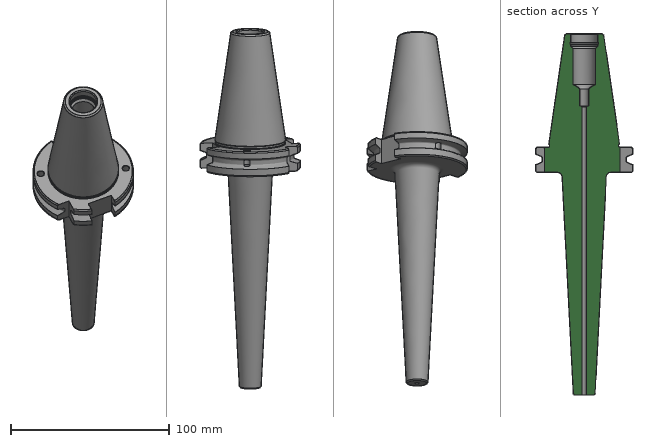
import cadquery as cq
import math

overall_length = 228.5
taper_length = 68.5
nose_end = taper_length - overall_length

gauge_diameter = 44.5
taper_ratio = 7 / 24
taper_top_chamfer = 1.0
taper_overrun = 1.1
relief_depth = 0.5

flange_diameter = 63.5
flange_top = -3.2
flange_height = 16.0
flange_bottom = flange_top - flange_height
flange_chamfer = 0.8
groove_floor_diameter = 55.5
groove_floor_width = 3.2
groove_mouth_width = 6.6
groove_center = -11.0
groove_corner_radius = 0.7

nose_root_diameter = 28.0
nose_root_fillet = 3.0
nose_tip_diameter = 14.0
nose_tip_chamfer = 0.8

slot_width = 16.0
deep_slot_distance = 22.5
shallow_slot_distance = 25.1
notch_x = 18.0
notch_y = -18.3

coolant_hole_radius = 2.0
coolant_hole_chamfer = 0.2
coolant_hole_depth = 9.1
coolant_drill_radius = 1.1
coolant_drill_depth = 12.5
coolant_circle_radius = 27.0
coolant_hole_angle = 70.0

entry_chamfer = 0.7
counterbore_radius = 8.5
counterbore_depth = 8.0
recess_radius = 9.0
recess_start = 5.5
recess_end = 6.6
thread_radius = 7.0
thread_depth = 32.0
drill_tip_angle = 30.0
stop_hole_mouth_radius = 3.9
stop_hole_radius = 2.7
stop_hole_depth = 45.7
stop_hole_land = 2.0
passage_radius = 1.4


def revolve_outline(points):
    """Turn a closed (radius, height) outline about the Z axis."""
    return cq.Workplane("XZ").polyline(points).close().revolve(360, (0, 0, 0), (0, 1, 0))


def taper_radius(z):
    return (gauge_diameter - z * taper_ratio) / 2


def make_body():
    """Taper, relief, flange and nose as one turned blank."""
    flange_radius = flange_diameter / 2
    nose_root_radius = nose_root_diameter / 2
    nose_tip_radius = nose_tip_diameter / 2
    chamfer_z = taper_length - taper_top_chamfer
    taper_end_radius = taper_radius(-taper_overrun)
    relief_radius = taper_end_radius - relief_depth
    profile = (
        cq.Workplane("XZ")
        .moveTo(0, taper_length)
        .lineTo(taper_radius(taper_length) - taper_top_chamfer, taper_length)
        .lineTo(taper_radius(chamfer_z), chamfer_z)
        .lineTo(taper_end_radius, -taper_overrun)
        .lineTo(relief_radius, -taper_overrun - relief_depth)
        .lineTo(relief_radius, flange_top + relief_depth)
        .lineTo(taper_end_radius, flange_top)
        .lineTo(flange_radius - flange_chamfer, flange_top)
        .lineTo(flange_radius, flange_top - flange_chamfer)
        .lineTo(flange_radius, flange_bottom + flange_chamfer)
        .lineTo(flange_radius - flange_chamfer, flange_bottom)
        .lineTo(nose_root_radius + nose_root_fillet, flange_bottom)
        .radiusArc((nose_root_radius, flange_bottom - nose_root_fillet), -nose_root_fillet)
        .lineTo(nose_tip_radius, nose_end + nose_tip_chamfer)
        .lineTo(nose_tip_radius - nose_tip_chamfer, nose_end)
        .lineTo(0, nose_end)
        .close()
    )
    return profile.revolve(360, (0, 0, 0), (0, 1, 0))


def make_gripper_groove():
    """Ring that cuts the V-groove, with rounded corners at the groove floor."""
    floor_radius = groove_floor_diameter / 2
    mouth_radius = flange_diameter / 2
    ring = revolve_outline([
        (floor_radius, groove_center - groove_floor_width / 2),
        (mouth_radius, groove_center - groove_mouth_width / 2),
        (mouth_radius, groove_center + groove_mouth_width / 2),
        (floor_radius, groove_center + groove_floor_width / 2),
    ])
    floor_edges = ring.edges(cq.selectors.RadiusNthSelector(0))
    return floor_edges.fillet(groove_corner_radius)


def make_rim_cut(x_min, x_max, y_min, y_max):
    """Rectangular cut through the full flange height."""
    block = cq.Workplane("XY").box(x_max - x_min, y_max - y_min, flange_height, centered=False)
    return block.translate((x_min, y_min, flange_bottom))


def make_coolant_hole():
    """Chamfered hole with a narrower drill below it, at its place in the flange face."""
    shoulder = coolant_hole_radius - coolant_drill_radius
    hole = revolve_outline([
        (0, 0),
        (coolant_hole_radius + coolant_hole_chamfer, 0),
        (coolant_hole_radius, -coolant_hole_chamfer),
        (coolant_hole_radius, -coolant_hole_depth),
        (coolant_drill_radius, -coolant_hole_depth - shoulder),
        (coolant_drill_radius, -coolant_drill_depth),
        (0, -coolant_drill_depth),
    ])
    placed = hole.translate((coolant_circle_radius, 0, flange_top))
    return placed.rotate((0, 0, 0), (0, 0, 1), coolant_hole_angle)


def make_bore():
    """Counterbore with recess, thread hole with drill tip, stop-screw hole and coolant passage."""
    top = taper_length
    recess_step = recess_radius - counterbore_radius
    thread_lead = counterbore_radius - thread_radius
    tip_height = (thread_radius - stop_hole_mouth_radius) * math.tan(math.radians(drill_tip_angle))
    mouth_z = top - thread_depth - tip_height
    stop_z = top - stop_hole_depth
    return revolve_outline([
        (0, top),
        (counterbore_radius + entry_chamfer, top),
        (counterbore_radius, top - entry_chamfer),
        (counterbore_radius, top - recess_start),
        (recess_radius, top - recess_start),
        (recess_radius, top - recess_end),
        (counterbore_radius, top - recess_end - recess_step),
        (counterbore_radius, top - counterbore_depth),
        (thread_radius, top - counterbore_depth - thread_lead),
        (thread_radius, top - thread_depth),
        (stop_hole_mouth_radius, mouth_z),
        (stop_hole_radius, mouth_z - (stop_hole_mouth_radius - stop_hole_radius)),
        (stop_hole_radius, stop_z),
        (stop_hole_land, stop_z),
        (passage_radius, stop_z - (stop_hole_land - passage_radius)),
        (passage_radius, nose_end),
        (0, nose_end),
    ])


rim = flange_diameter / 2
half_slot = slot_width / 2
coolant_hole = make_coolant_hole()

result = (
    make_body()
    .cut(make_gripper_groove())
    .cut(make_rim_cut(-rim, -deep_slot_distance, -half_slot, half_slot))
    .cut(make_rim_cut(shallow_slot_distance, rim, -half_slot, half_slot))
    .cut(make_rim_cut(notch_x, rim, -rim, notch_y))
    .cut(coolant_hole)
    .cut(coolant_hole.rotate((0, 0, 0), (0, 0, 1), 180))
    .cut(make_bore())
)